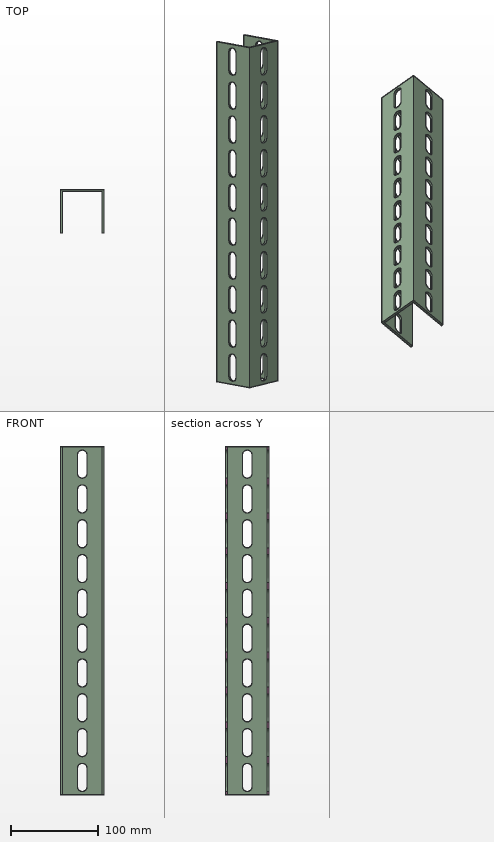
import cadquery as cq

width = 50.0
depth = 50.0
length = 400.0
wall = 2.5

slot_count = 10
slot_length = 32.0
slot_width = 11.0
slot_pitch = length / slot_count
flange_slot_offset = -wall / 2


def slot_row(plane, cut_depth, row_offset):
    """Row of through slots running along Z, centred on the given plane."""
    return (
        cq.Workplane(plane)
        .center(row_offset, 0)
        .rarray(4, slot_pitch, 1, slot_count)
        .slot2D(slot_length, slot_width, 90)
        .extrude(cut_depth, both=True)
    )


inner_width = width - 2 * wall
outer_block = cq.Workplane("XY").box(width, depth, length)
opening = cq.Workplane("XY").box(inner_width, depth, length).translate((0, -wall, 0))
channel = outer_block.cut(opening)

web_slots = slot_row("XZ", depth, 0)
flange_slots = slot_row("YZ", width, flange_slot_offset)

result = channel.cut(web_slots).cut(flange_slots)